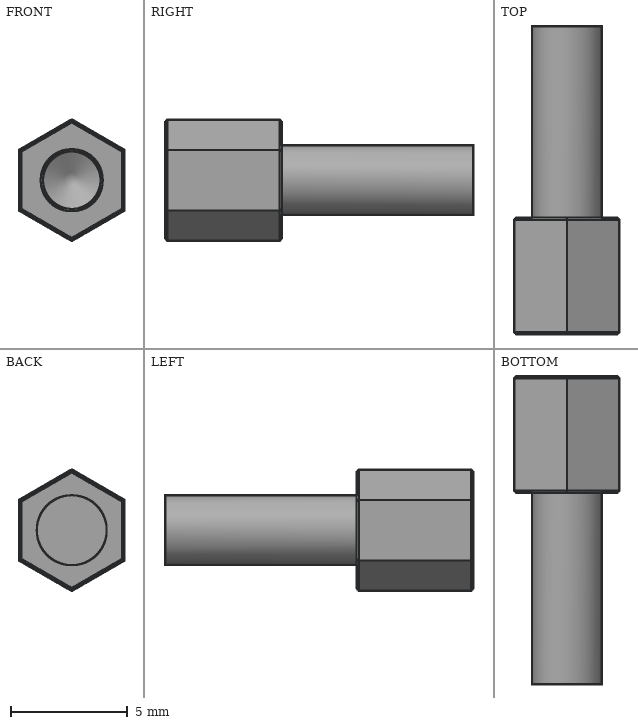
import cadquery as cq
import math

HEX_ACROSS_FLATS = 4.5
HEX_LENGTH = 5.0
STUD_DIAMETER = 3.0
TOTAL_LENGTH = 13.2
EDGE_CHAMFER = 0.1

BORE_DIAMETER = 2.46
BORE_DEPTH = 4.0
DRILL_POINT_ANGLE = 118.0

HEX_ACROSS_CORNERS = HEX_ACROSS_FLATS / math.cos(math.radians(30))


def make_hex_body():
    """Hexagonal prism with flats facing +X and -X, chamfered at both ends."""
    corner_radius = HEX_ACROSS_CORNERS / 2
    corner_angles = [math.radians(30 + 60 * i) for i in range(6)]
    corners = [(corner_radius * math.cos(a), corner_radius * math.sin(a)) for a in corner_angles]
    prism = cq.Workplane("XZ").polyline(corners).close().extrude(-HEX_LENGTH)
    return prism.faces("<Y or >Y").chamfer(EDGE_CHAMFER)


def make_stud():
    """Plain round stud, from the back face of the hexagon to the far end."""
    stud_length = TOTAL_LENGTH - HEX_LENGTH
    return (
        cq.Workplane("XZ", origin=(0, HEX_LENGTH, 0))
        .circle(STUD_DIAMETER / 2)
        .extrude(-stud_length)
    )


def make_bore():
    """Blind drilled bore: chamfered mouth, cylindrical wall and conical bottom."""
    radius = BORE_DIAMETER / 2
    point_depth = radius / math.tan(math.radians(DRILL_POINT_ANGLE / 2))
    half_profile = [
        (0, 0),
        (radius + EDGE_CHAMFER, 0),
        (radius, EDGE_CHAMFER),
        (radius, BORE_DEPTH),
        (0, BORE_DEPTH + point_depth),
    ]
    return cq.Workplane("XY").polyline(half_profile).close().revolve(360, (0, 0, 0), (0, 1, 0))


result = make_hex_body().union(make_stud()).cut(make_bore())